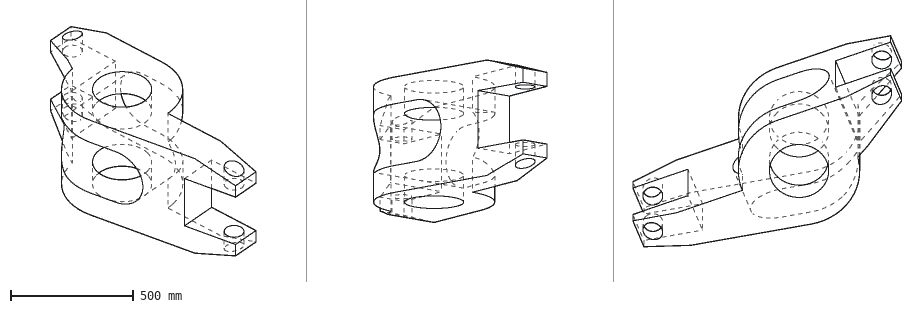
import cadquery as cq
import math

hub_radius = 248.0
bore_radius = 121.0
length = 1222
height = 483.0

left_end = -495.0
right_end = left_end + length
left_end_width = 127.0
right_end_width = 127.0
left_root_y = -27.0
pin_radius = 40.0
pin_edge_distance = 64.0

gap_height = 241.0
left_gap_floor = -254.0
right_gap_floor = 486.0

taper_length = 15.7
taper_drop = 62.0

window_left = -226.0
window_right = 290.0
window_height = 258.0


def polar(radius, angle):
    return (radius * math.cos(angle), radius * math.sin(angle))


def make_body():
    """Plan outline of the hub with both arms, extruded to the full height."""
    left_root = (-math.sqrt(hub_radius**2 - left_root_y**2), left_root_y)
    right_corner = (right_end, -right_end_width)

    corner_distance = math.hypot(*right_corner)
    corner_angle = math.atan2(right_corner[1], right_corner[0])
    tangent_angle = corner_angle - math.acos(hub_radius / corner_distance)
    root_angle = math.atan2(left_root[1], left_root[0])
    middle_angle = (root_angle + tangent_angle) / 2

    return (
        cq.Workplane("XY", origin=(0, 0, -height / 2))
        .moveTo(left_end, hub_radius)
        .lineTo(0, hub_radius)
        .threePointArc(polar(hub_radius, math.pi / 4), (hub_radius, 0))
        .lineTo(right_end, 0)
        .lineTo(*right_corner)
        .lineTo(*polar(hub_radius, tangent_angle))
        .threePointArc(polar(hub_radius, middle_angle), left_root)
        .lineTo(left_end, hub_radius - left_end_width)
        .close()
        .extrude(height)
    )


def fork_gap(x_start, x_end):
    """Fork gap between two X positions, spanning the whole part in Y."""
    return cq.Workplane("XY").box(x_end - x_start, 2 * hub_radius, gap_height).translate(
        ((x_start + x_end) / 2, 0, 0)
    )


def taper_cutter(end_x, inward, side):
    """Wedge removed from the upper (side = 1) or lower (side = -1) face of an arm."""
    face_z = side * height / 2
    return (
        cq.Workplane("XZ")
        .moveTo(end_x, face_z)
        .lineTo(end_x + inward * taper_length, face_z)
        .lineTo(end_x, face_z - side * taper_drop)
        .close()
        .extrude(hub_radius, both=True)
    )


def make_window():
    window_length = window_right - window_left
    return (
        cq.Workplane("XZ")
        .center((window_left + window_right) / 2, 0)
        .slot2D(window_length, window_height)
        .extrude(hub_radius, both=True)
    )


def vertical_hole(x, y, radius):
    return cq.Workplane("XY").center(x, y).circle(radius).extrude(height / 2, both=True)


result = make_body()
result = result.cut(fork_gap(left_end, left_gap_floor))
result = result.cut(fork_gap(right_gap_floor, right_end))

for end_x, inward in ((left_end, 12), (right_end, -12)):
    for side in (1, -1):
        result = result.cut(taper_cutter(end_x, inward, side))

result = result.cut(make_window())
result = result.cut(vertical_hole(0, 0, bore_radius))
result = result.cut(
    vertical_hole(left_end + pin_edge_distance, hub_radius - pin_edge_distance, pin_radius)
)
result = result.cut(
    vertical_hole(right_end - pin_edge_distance, -pin_edge_distance, pin_radius)
)